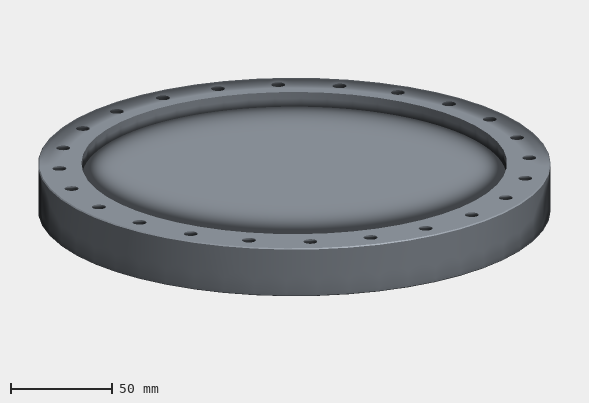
import cadquery as cq

flange_diameter = 253.0
flange_thickness = 25.0
bore_diameter = 210.0
edge_chamfer = 0.5

bolt_count = 24
bolt_circle_diameter = 232.3
bolt_hole_diameter = 6.8
bolt_pitch_angle = 360 / bolt_count

recess_depth = 7.5
plate_thickness = flange_thickness - recess_depth


def make_flange():
    """Ring with chamfered outer edges and a circle of through holes."""
    disc = cq.Workplane("XY").circle(flange_diameter / 2).extrude(flange_thickness)
    disc = disc.faces("<Z or >Z").edges().chamfer(edge_chamfer)
    ring = disc.faces(">Z").workplane().hole(bore_diameter)
    return (
        ring.faces(">Z")
        .workplane(origin=(0, 0, flange_thickness))
        .polarArray(bolt_circle_diameter / 2, bolt_pitch_angle / 2, 360, bolt_count)
        .hole(bolt_hole_diameter)
    )


def make_plate():
    """Flat disc that fills the bore below the recess."""
    return cq.Workplane("XY").circle(bore_diameter / 2).extrude(plate_thickness)


flange = make_flange()
plate = make_plate()

result = cq.Compound.makeCompound([flange.val(), plate.val()])